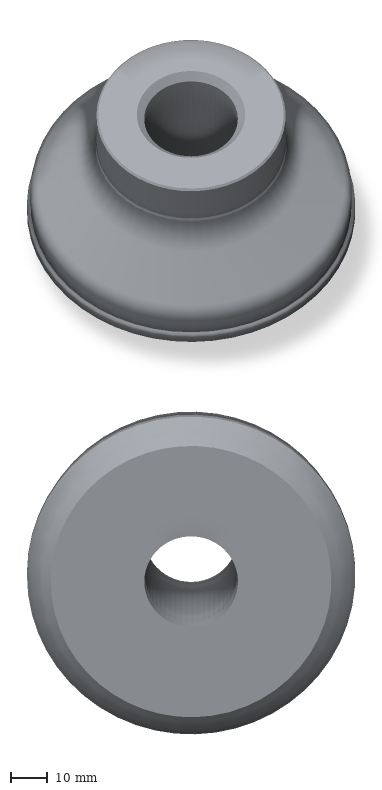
import cadquery as cq
import math

total_height = 50.0
pad_height = 9.6
bore_radius = 25.4 / 2

pad_radius = 44.6
bevel_height = 6.5
lip_round = 1.0

skirt_radius = 87.2 / 2
skirt_top = 15.0
shoulder_round = 5.0
flank_angle = math.radians(38.6)
neck_radius = 51.35 / 2
neck_bottom = 37.3
throat_radius = 51.9 / 2
throat_top = 36.5
throat_round = 10.0
neck_chamfer = 0.5
countersink_radius = 14.7


def round_offset(radius, angle):
    """Radial and axial distance along an arc, from its vertical tangent to a flank at the given angle."""
    return radius * (1 - math.sin(angle)), radius * math.cos(angle)


def make_pad():
    """Annular pad, revolved about Z."""
    corner = lip_round * math.sqrt(0.5)
    lip_inner = pad_radius - lip_round
    profile = (
        cq.Workplane("XZ")
        .moveTo(bore_radius, 0)
        .lineTo(pad_radius - bevel_height, 0)
        .lineTo(pad_radius, bevel_height)
        .lineTo(pad_radius, pad_height - lip_round)
        .threePointArc((lip_inner + corner, pad_height - lip_round + corner), (lip_inner, pad_height))
        .lineTo(bore_radius, pad_height)
        .close()
    )
    return profile.revolve(360, (0, 0), (0, 1))


def make_housing():
    """Bored housing, revolved about Z and seated on the pad."""
    shoulder_in, shoulder_up = round_offset(shoulder_round, flank_angle)
    shoulder_mid_in, shoulder_mid_up = round_offset(shoulder_round, (flank_angle + math.pi / 2) / 2)
    throat_out, throat_down = round_offset(throat_round, flank_angle)
    throat_mid_out, throat_mid_down = round_offset(throat_round, (flank_angle + math.pi / 2) / 2)
    countersink_depth = countersink_radius - bore_radius
    profile = (
        cq.Workplane("XZ")
        .moveTo(bore_radius, pad_height)
        .lineTo(skirt_radius, pad_height)
        .lineTo(skirt_radius, skirt_top)
        .threePointArc(
            (skirt_radius - shoulder_mid_in, skirt_top + shoulder_mid_up),
            (skirt_radius - shoulder_in, skirt_top + shoulder_up),
        )
        .lineTo(throat_radius + throat_out, throat_top - throat_down)
        .threePointArc(
            (throat_radius + throat_mid_out, throat_top - throat_mid_down),
            (throat_radius, throat_top),
        )
        .lineTo(neck_radius, neck_bottom)
        .lineTo(neck_radius, total_height - neck_chamfer)
        .lineTo(neck_radius - neck_chamfer, total_height)
        .lineTo(countersink_radius, total_height)
        .lineTo(bore_radius, total_height - countersink_depth)
        .close()
    )
    return profile.revolve(360, (0, 0), (0, 1))


pad = make_pad()
housing = make_housing()
result = cq.Compound.makeCompound([pad.val(), housing.val()])